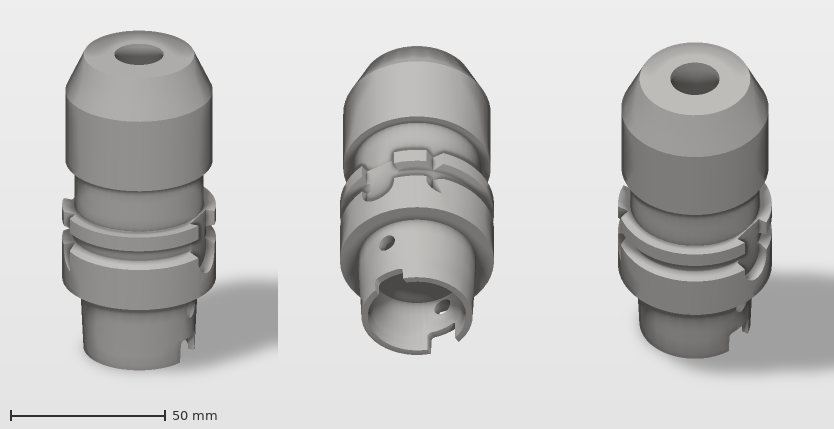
import cadquery as cq

total_height = 105.0
shank_length = 25.0
groove_lower_edge = 39.4
groove_floor_bottom = 41.1
groove_floor_top = 44.9
groove_upper_edge = 46.1
flange_top = 51.0
head_bottom = 67.2
head_cone_bottom = 92.2

shank_end_radius = 18.1
shank_top_radius = 19.2
flange_radius = 25.0
groove_radius = 21.7
neck_radius = 21.0
root_fillet = 0.3
head_radius = 23.9
head_top_radius = 18.0

bore_diameter = 16.0
bore_depth = 47.2

slot_width = 12.1
slot_end_center_z = 38.0
slot_top = flange_top + root_fillet
key_slot_floor = 21.2
notch_inset = 15.5

socket_radius = 16.0
socket_depth = 21.5
cross_hole_diameter = 6.0
cross_hole_z = 17.4
drive_slot_width = 10.5
drive_slot_depth_left = 4.5
drive_slot_depth_right = 7.5
drive_slot_corner_radius = 1.3


def turned_body():
    profile = [
        (0, 0),
        (shank_end_radius, 0),
        (shank_top_radius, shank_length),
        (flange_radius, shank_length),
        (flange_radius, groove_lower_edge),
        (groove_radius, groove_floor_bottom),
        (groove_radius, groove_floor_top),
        (flange_radius, groove_upper_edge),
        (flange_radius, flange_top),
        (neck_radius, flange_top),
        (neck_radius, head_bottom),
        (head_radius, head_bottom),
        (head_radius, head_cone_bottom),
        (head_top_radius, total_height),
        (0, total_height),
    ]
    body = cq.Workplane("XZ").polyline(profile).close().revolve(360, (0, 0), (0, 1))
    root_corners = [
        (neck_radius, flange_top),
        (groove_radius, groove_floor_bottom),
        (groove_radius, groove_floor_top),
    ]
    for radius, height in root_corners:
        corner_box = cq.selectors.BoxSelector(
            (-radius, -radius, height - root_fillet),
            (radius, radius, height + root_fillet),
            boundingbox=False,
        )
        corner = body.edges("%CIRCLE").edges(corner_box)
        body = corner.edges(cq.selectors.RadiusNthSelector(0)).fillet(root_fillet)
    return body


def flange_slot(center_y, floor_x, side):
    """Slot open at its top, cut outward from floor_x; side is -1 or +1 along X."""
    half_width = slot_width / 2
    return (
        cq.Workplane("YZ", origin=(side * floor_x, center_y, 0))
        .moveTo(-half_width, slot_top)
        .lineTo(-half_width, slot_end_center_z)
        .threePointArc((0, slot_end_center_z - half_width), (half_width, slot_end_center_z))
        .lineTo(half_width, slot_top)
        .close()
        .extrude(side * flange_radius)
    )


def drive_slot(depth, side):
    """Slot across one wall of the shank end, with rounded upper corners."""
    return (
        cq.Workplane("XY")
        .box(shank_top_radius, drive_slot_width, depth, centered=(True, True, False))
        .edges("|X and >Z")
        .fillet(drive_slot_corner_radius)
        .translate((side * shank_top_radius / 2, 0, 0))
    )


bore = (
    cq.Workplane("XY", origin=(0, 0, total_height - bore_depth))
    .circle(bore_diameter / 2)
    .extrude(bore_depth)
)
socket = cq.Workplane("XY").circle(socket_radius).extrude(socket_depth)
cross_hole = (
    cq.Workplane("YZ", origin=(-shank_top_radius, 0, cross_hole_z))
    .circle(cross_hole_diameter / 2)
    .extrude(2 * shank_top_radius)
)

result = turned_body().cut(bore).cut(socket).cut(cross_hole)

for side in (-1, 1):
    result = result.cut(flange_slot(0, key_slot_floor, side))
result = result.cut(flange_slot(-notch_inset - slot_width / 2, notch_inset, -1))

result = result.cut(drive_slot(drive_slot_depth_left, -1))
result = result.cut(drive_slot(drive_slot_depth_right, 1))